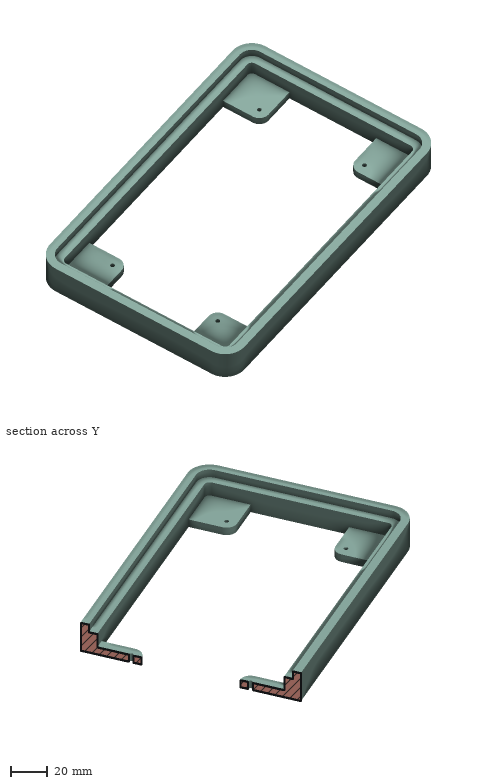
import cadquery as cq

frame_width = 130.7
frame_length = 199.8
frame_height = 18.8
corner_radius = 13.0

wall_thickness = 10.0
rim_thickness = 5.0
rim_depth = 5.0

tab_reach = 36.2
tab_thickness = 5.0
tab_corner_radius = 6.2
hole_diameter = 2.5
hole_inset = tab_reach - tab_corner_radius


def rounded_block(inset, bottom, height):
    """Block with the frame outline moved inward by inset."""
    return (
        cq.Workplane("XY", origin=(0, 0, bottom))
        .rect(frame_width - 2 * inset, frame_length - 2 * inset)
        .extrude(height)
        .edges("|Z")
        .fillet(corner_radius - inset)
    )


def corner_tab(side_x, side_y):
    """Tab with one rounded free corner, running half way into the frame wall."""
    size = tab_reach - rim_thickness
    offset = rim_thickness + size / 2
    center_x = side_x * (frame_width / 2 - offset)
    center_y = side_y * (frame_length / 2 - offset)
    free_edge = "|Z and " + ("<X" if side_x > 0 else ">X") + " and " + ("<Y" if side_y > 0 else ">Y")
    return (
        cq.Workplane("XY")
        .center(center_x, center_y)
        .rect(size, size)
        .extrude(tab_thickness)
        .edges(free_edge)
        .fillet(tab_corner_radius)
    )


frame = rounded_block(0, 0, frame_height)
opening = rounded_block(wall_thickness, 0, frame_height)
recess = rounded_block(rim_thickness, frame_height - rim_depth, rim_depth)
result = frame.cut(opening).cut(recess)

for side_x in (-1, 1):
    for side_y in (-1, 1):
        result = result.union(corner_tab(side_x, side_y))

holes = (
    cq.Workplane("XY")
    .rect(frame_width - 2 * hole_inset, frame_length - 2 * hole_inset, forConstruction=True)
    .vertices()
    .circle(hole_diameter / 2)
    .extrude(tab_thickness)
)
result = result.cut(holes)